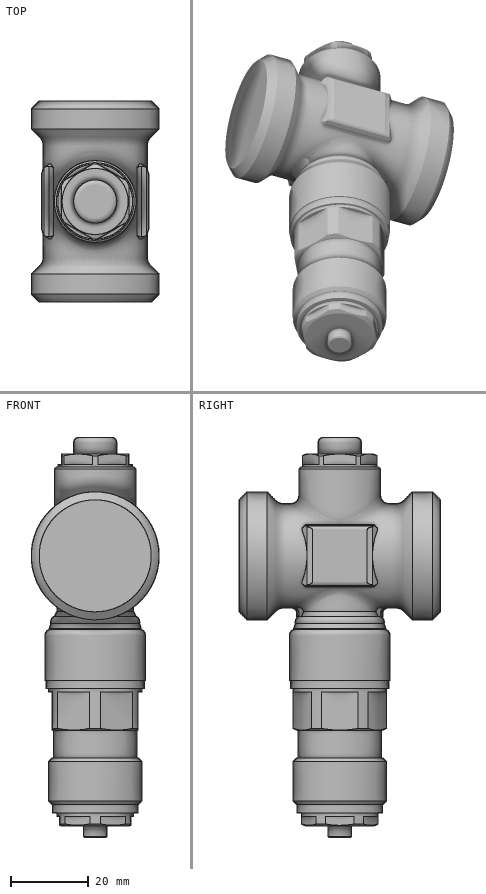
import cadquery as cq
import math


top_z = 30.6
bottom_z = top_z - 103.5

run_radius = 27.0 / 2
run_half_length = 52.0 / 2
flange_radius = 16.6
flange_edge_chamfer = 2.1
flange_width = 7.2
flange_inner_y = run_half_length - flange_width
flange_cone_depth = 2.2
flange_blend_length = 2.1
flange_slope = math.radians(45)

upper_neck_radius = 10.6
upper_neck_top = 23.0
upper_neck_chamfer = 0.5
upper_shoulder_radius = 19.3 / 2
upper_hex_bottom = 23.6
upper_hex_top = 26.4
upper_hex_flats = 17.4
upper_hex_corner_radius = upper_shoulder_radius
cap_radius = 5.6
cap_fillet = 1.3

lower_neck_radius = 9.9
lower_neck_bottom = -14.4
neck_flare_radius = 10.6
collar_top = -15.6
collar_radius = 11.5
collar_waist = -17.5
collar_flare_radius = 11.9
collar_foot_height = 0.3
body_top = -19.0
body_radius = 13.0
body_shoulder = 1.6
body_bottom = -32.2

rib_half_width = 3.6
rib_radius = 11.2
rib_blend = 1.2

ring_radius = 12.7
ring_bottom = -34.3
seat_radius = 12.1
seat_bottom = -35.2
stem_radius = 21.6 / 2
stem_bottom = -52.2

middle_hex_bottom = -45.1
middle_hex_flats = 22.2
middle_hex_corner_radius = 12.1

nut_radius = 12.1
nut_bottom = -64.2
nut_chamfer = 0.9
end_collar_radius = 11.1
end_collar_bottom = -66.4
end_shoulder_radius = 9.9
end_shoulder_bottom = -67.3

bottom_hex_bottom = -69.8
bottom_hex_flats = 18.4
bottom_hex_corner_radius = end_shoulder_radius
pin_radius = 6.1 / 2
pin_chamfer = 0.3

pad_face_x = 13.9
pad_face_half_width = 7.0
pad_edge_x = 13.7
pad_edge_half_width = 7.7
pad_foot_half_width = 8.5
pad_root_x = 9.3
pad_root_half_width = 11.6
pad_corner_half_width = 9.7
pad_corner_cut = 1.5
pad_half_height = 7.9
pad_rounding = 1.2
pad_rounding_sweep = math.radians(60)
pad_rounding_start = 6.6
pad_flare_x = 12.0
pad_foot_x = 10.3
pad_foot_half_height = 8.6

neck_blend_radius = 2.1
hex_chamfer_height = 0.5
hex_chamfer_depth = 1.1

selection_margin = 0.1

diagonal = math.sin(math.radians(45))


def disc(radius, z_low, z_high):
    """A round block about the Z axis."""
    return cq.Workplane("XY").workplane(offset=z_low).circle(radius).extrude(z_high - z_low)


def hexagon(flats, corner_radius, z_low, z_high, chamfered_end):
    """A hexagon with flats facing X and its corners turned round and chamfered at one end."""
    prism = (
        cq.Workplane("XY")
        .workplane(offset=z_low)
        .transformed(rotate=(0, 0, 30))
        .polygon(6, flats / math.cos(math.pi / 6))
        .extrude(z_high - z_low)
    )
    blank = disc(corner_radius, z_low, z_high).faces(chamfered_end)
    return prism.intersect(blank.chamfer(hex_chamfer_height, hex_chamfer_depth))


def run():
    """The horizontal tube with a chamfered, cone-backed flange at each end."""
    cone_y = flange_inner_y - flange_cone_depth
    blend_radius = flange_blend_length / math.sin(flange_slope)
    blend_rise = blend_radius * (1 - math.cos(flange_slope))
    blend_y = cone_y - flange_blend_length
    middle = (
        run_radius + blend_radius * (1 - math.cos(flange_slope / 2)),
        blend_y + blend_radius * math.sin(flange_slope / 2),
    )
    half = (
        cq.Workplane("XY")
        .lineTo(run_radius, 0)
        .lineTo(run_radius, blend_y)
        .threePointArc(middle, (run_radius + blend_rise, cone_y))
        .lineTo(flange_radius, flange_inner_y)
        .lineTo(flange_radius, run_half_length - flange_edge_chamfer)
        .lineTo(flange_radius - flange_edge_chamfer, run_half_length)
        .lineTo(0, run_half_length)
        .close()
        .revolve(360, (0, 0, 0), (0, 1, 0))
    )
    return half.union(half.mirror("XZ"))


def cross_body():
    """The run with the upper and lower necks blended into it."""
    upper_neck = disc(upper_neck_radius, 0, upper_neck_top)
    upper_neck = upper_neck.faces(">Z").chamfer(upper_neck_chamfer)
    lower_neck = disc(lower_neck_radius, body_top, 0)
    body = run().union(upper_neck).union(lower_neck)
    reach = upper_neck_radius + selection_margin
    height = run_radius + selection_margin
    around_necks = cq.selectors.BoxSelector(
        (-reach, -reach, -height), (reach, reach, height), boundingbox=True
    )
    return body.edges(around_necks).fillet(neck_blend_radius)


def neck_ribs():
    """Two short ribs, curved with the lower neck, that flare out under the run."""
    flare_radius = rib_radius + rib_blend
    flare_z = -run_radius - rib_blend
    offset = rib_blend * (1 - diagonal)
    turned = (
        cq.Workplane("XZ")
        .moveTo(0, collar_top)
        .lineTo(rib_radius, collar_top)
        .lineTo(rib_radius, flare_z)
        .threePointArc((rib_radius + offset, -run_radius - offset), (flare_radius, -run_radius))
        .lineTo(0, -run_radius)
        .close()
        .revolve(360, (0, 0, 0), (0, 1, 0))
    )
    slab = cq.Workplane("XY").rect(2 * rib_half_width, 2 * flare_radius).extrude(collar_top)
    return turned.intersect(slab)


def pad_across():
    """The pad seen from above: a flat face whose sides ease into the run, then slope away."""
    half_outline = [
        (pad_face_x, pad_face_half_width),
        (pad_edge_x, pad_edge_half_width),
        (run_radius, pad_foot_half_width),
        (pad_root_x, pad_root_half_width),
    ]
    other_half = [(x, -y) for x, y in reversed(half_outline)]
    return (
        cq.Workplane("XY")
        .polyline(half_outline + other_half)
        .close()
        .extrude(pad_foot_half_height, both=True)
    )


def pad_upright():
    """The pad seen from the end of the run: rounded front edges and flared top and bottom."""
    rounding_centre_x = pad_face_x - pad_rounding
    rounding_middle, rounding_end = (
        (
            rounding_centre_x + pad_rounding * math.cos(angle),
            pad_rounding_start + pad_rounding * math.sin(angle),
        )
        for angle in (pad_rounding_sweep / 2, pad_rounding_sweep)
    )
    flare_x = pad_flare_x - (pad_flare_x - pad_foot_x) * diagonal
    flare_z = pad_foot_half_height - (pad_foot_half_height - pad_half_height) * diagonal
    upper_half = (
        cq.Workplane("XZ")
        .moveTo(pad_root_x, 0)
        .lineTo(pad_face_x, 0)
        .lineTo(pad_face_x, pad_rounding_start)
        .threePointArc(rounding_middle, rounding_end)
        .lineTo(pad_flare_x, pad_half_height)
        .threePointArc((flare_x, flare_z), (pad_foot_x, pad_foot_half_height))
        .lineTo(pad_root_x, pad_foot_half_height)
        .close()
        .extrude(pad_root_half_width, both=True)
    )
    return upper_half.union(upper_half.mirror("XY"))


def side_pad():
    """A raised square pad on +X with blended sides and cut corners."""
    limits = (
        cq.Workplane("YZ")
        .rect(2 * pad_corner_half_width, 2 * pad_foot_half_height)
        .extrude(pad_face_x)
        .edges("|X")
        .chamfer(pad_corner_cut)
    )
    return pad_across().intersect(pad_upright()).intersect(limits)


def top_fittings():
    """The shoulder, hexagon and rounded cap on top of the upper neck."""
    shoulder = disc(upper_shoulder_radius, upper_neck_top, upper_hex_bottom)
    nut = hexagon(upper_hex_flats, upper_hex_corner_radius, upper_hex_bottom, upper_hex_top, ">Z")
    cap = disc(cap_radius, upper_hex_top, top_z).faces(">Z").edges().fillet(cap_fillet)
    return shoulder.union(nut).union(cap)


def collar_and_body():
    """The stepped collar below the run and the round body, turned as one outline."""
    collar_fall = collar_top - collar_waist
    collar_step = collar_radius - neck_flare_radius
    collar_middle = (
        neck_flare_radius + collar_step * diagonal,
        collar_waist + collar_fall * diagonal,
    )
    shoulder_middle = (
        body_radius - body_shoulder * (1 - diagonal),
        body_top - body_shoulder * (1 - diagonal),
    )
    return (
        cq.Workplane("XZ")
        .moveTo(0, lower_neck_bottom)
        .lineTo(lower_neck_radius, lower_neck_bottom)
        .lineTo(neck_flare_radius, collar_top)
        .threePointArc(collar_middle, (collar_radius, collar_waist))
        .lineTo(collar_flare_radius, body_top + collar_foot_height)
        .lineTo(collar_flare_radius, body_top)
        .threePointArc(shoulder_middle, (body_radius, body_top - body_shoulder))
        .lineTo(body_radius, body_bottom)
        .lineTo(0, body_bottom)
        .close()
        .revolve(360, (0, 0, 0), (0, 1, 0))
    )


def lower_fittings():
    """Everything under the body: rings, two hexagons, the nut and the pin."""
    ring = disc(ring_radius, ring_bottom, body_bottom)
    seat = disc(seat_radius, seat_bottom, ring_bottom)
    upper_nut = hexagon(
        middle_hex_flats, middle_hex_corner_radius, middle_hex_bottom, seat_bottom, "<Z"
    )
    stem = disc(stem_radius, stem_bottom, middle_hex_bottom)
    nut = disc(nut_radius, nut_bottom, stem_bottom).faces("<Z or >Z").chamfer(nut_chamfer)
    end_collar = disc(end_collar_radius, end_collar_bottom, nut_bottom)
    end_shoulder = disc(end_shoulder_radius, end_shoulder_bottom, end_collar_bottom)
    end_nut = hexagon(
        bottom_hex_flats, bottom_hex_corner_radius, bottom_hex_bottom, end_shoulder_bottom, "<Z"
    )
    pin = disc(pin_radius, bottom_z, bottom_hex_bottom).faces("<Z").chamfer(pin_chamfer)
    stack = ring
    for piece in (seat, upper_nut, stem, nut, end_collar, end_shoulder, end_nut, pin):
        stack = stack.union(piece)
    return stack


pad = side_pad()
result = (
    cross_body()
    .union(neck_ribs())
    .union(pad)
    .union(pad.mirror("YZ"))
    .union(top_fittings())
    .union(collar_and_body())
    .union(lower_fittings())
)